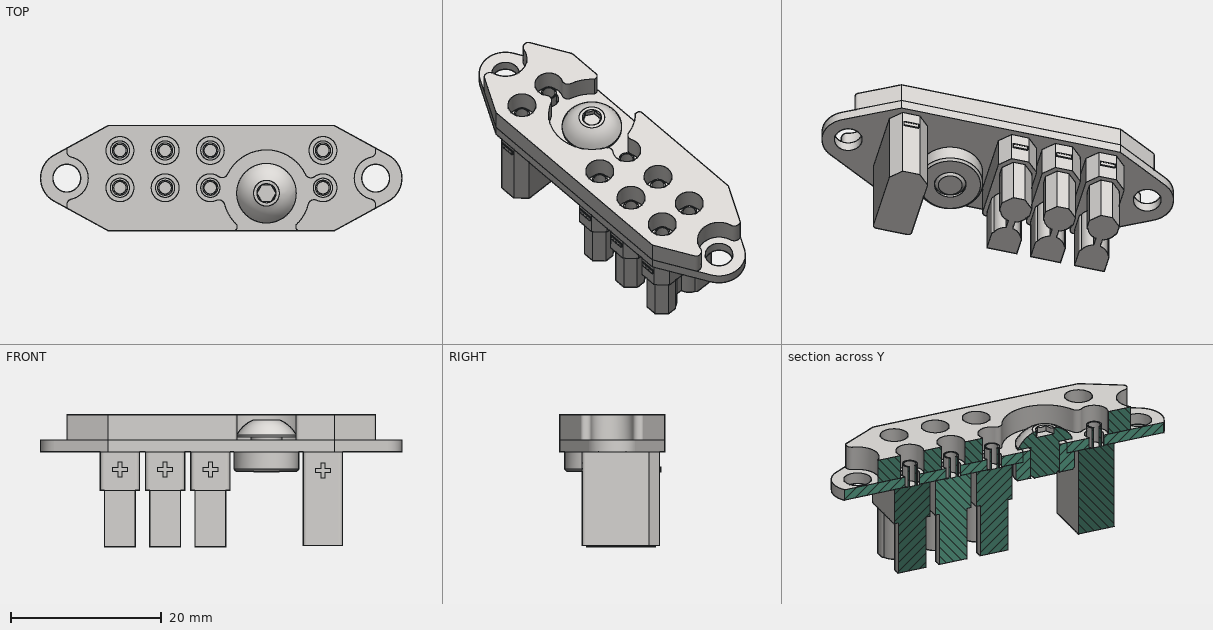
import cadquery as cq
import math

BOARD_THICKNESS = 1.6
COVER_THICKNESS = 3.35

PLATE_HALF_WIDTH = 7.0
SHOULDER_X = 15.0
EAR_X = 20.5
EAR_RADIUS = 3.5
EAR_POINTS = [(-EAR_X, 0), (EAR_X, 0)]
EAR_HOLE_DIAMETER = 3.66
EAR_PAD_DIAMETER = 5.65

CONTACT_PITCH = 4.95
CONTACT_ROW_MIDDLE_Y = 1.2
STEPPED_CONNECTOR_XS = (-13.45, -7.45, -1.45)
STRAIGHT_CONNECTOR_X = 13.5
CONTACT_ROW_YS = (CONTACT_ROW_MIDDLE_Y + CONTACT_PITCH / 2, CONTACT_ROW_MIDDLE_Y - CONTACT_PITCH / 2)
CONTACT_POINTS = [
    (x, y) for x in (*STEPPED_CONNECTOR_XS, STRAIGHT_CONNECTOR_X) for y in CONTACT_ROW_YS
]
CONTACT_CLEARANCE_DIAMETER = 3.7
CONTACT_HOLE_DIAMETER = 2.55
TUBE_OUTER_DIAMETER = 2.0
TUBE_INNER_DIAMETER = 1.65
TUBE_RISE = 1.4

HOUSING_WIDTH = 5.25
HOUSING_BACK_Y = 6.3
HOUSING_FRONT_Y = -4.0
HOUSING_BACK_CHAMFER = 1.45
STEPPED_FRONT_FILLET = 0.6
STRAIGHT_FRONT_FILLET = 0.5
STEPPED_HOUSING_HEIGHT = 5.1
STEPPED_TOTAL_HEIGHT = 12.6
STRAIGHT_HOUSING_HEIGHT = 12.45

PLUG_WIDTH = 4.1
PLUG_BACK_Y = 5.75
PLUG_FRONT_Y = -3.4
PLUG_BACK_CHAMFER = 1.25
WAIST_WIDTH = 0.9
BARREL_DIAMETER = 3.9
BLOCK_PAST_CONTACT = 0.75
BLOCK_INNER_FILLET = 0.45

MARK_LENGTH = 2.0
MARK_STROKE = 0.55
MINUS_STROKE = 0.7
MARK_RELIEF = 0.15
MARK_DEPTH_BELOW_BOARD = 2.35
STRAIGHT_PLUS_DEPTH_BELOW_BOARD = 2.5

SCREW_X = 6.0
SCREW_Y = -2.0
SCREW_POINT = [(SCREW_X, SCREW_Y)]
SHANK_DIAMETER = 4.17
SHANK_TIP_CHAMFER = 0.5
SHANK_OVERHANG = 0.1
HEAD_DIAMETER = 7.92
HEAD_FLAT_DIAMETER = 3.42
HEAD_GAP = 0.4
HEAD_RIM_HEIGHT = 0.25
HEAD_HEIGHT = 2.25
SOCKET_ACROSS_FLATS = 2.2
SOCKET_ENTRY_DIAMETER = 2.55
SOCKET_ENTRY_DEPTH = 0.2
SOCKET_DEPTH = 0.9
SOCKET_TURN = 30
NUT_DIAMETER = 8.64
NUT_HEIGHT = 2.6
NUT_CHAMFER = 0.3
NUT_BARREL_DIAMETER = 6.35
NUT_BARREL_HOLE_DIAMETER = 6.37
NUT_PAD_DIAMETER = 9.5

SCREW_OPENING_RADIUS = 5.75
SCREW_SLOT_WIDTH = 7.8
EAR_CUTOUT_RADIUS = 2.85
INNER_CORNER_FILLET = 0.8
OUTER_CORNER_FILLET = 0.5
EDGE_MARGIN = 0.1


def plate(z, thickness):
    """Board-shaped plate: straight sides that run tangent into the two ears."""
    corner_direction = math.atan2(PLATE_HALF_WIDTH, SHOULDER_X - EAR_X)
    corner_distance = math.hypot(PLATE_HALF_WIDTH, SHOULDER_X - EAR_X)
    tangent_angle = corner_direction - math.acos(EAR_RADIUS / corner_distance)
    tangent_x = EAR_X + EAR_RADIUS * math.cos(tangent_angle)
    tangent_y = EAR_RADIUS * math.sin(tangent_angle)
    ear_tip_x = EAR_X + EAR_RADIUS
    return (
        cq.Workplane("XY", origin=(0, 0, z))
        .moveTo(-SHOULDER_X, PLATE_HALF_WIDTH)
        .lineTo(SHOULDER_X, PLATE_HALF_WIDTH)
        .lineTo(tangent_x, tangent_y)
        .threePointArc((ear_tip_x, 0), (tangent_x, -tangent_y))
        .lineTo(SHOULDER_X, -PLATE_HALF_WIDTH)
        .lineTo(-SHOULDER_X, -PLATE_HALF_WIDTH)
        .lineTo(-tangent_x, -tangent_y)
        .threePointArc((-ear_tip_x, 0), (-tangent_x, tangent_y))
        .close()
        .extrude(thickness)
    )


def discs(points, diameter, z, height):
    return cq.Workplane("XY", origin=(0, 0, z)).pushPoints(points).circle(diameter / 2).extrude(height)


def make_board():
    board = plate(0, BOARD_THICKNESS)
    pads = (
        (EAR_POINTS, EAR_PAD_DIAMETER, EAR_HOLE_DIAMETER),
        (CONTACT_POINTS, CONTACT_CLEARANCE_DIAMETER, CONTACT_HOLE_DIAMETER),
        (SCREW_POINT, NUT_PAD_DIAMETER, NUT_BARREL_HOLE_DIAMETER),
    )
    for points, pad_diameter, hole_diameter in pads:
        pad = discs(points, pad_diameter, 0, BOARD_THICKNESS)
        hole = discs(points, hole_diameter, 0, BOARD_THICKNESS)
        board = board.cut(pad, clean=False).union(pad.cut(hole), clean=False)
    return board


def vertical_edges(body, min_x, max_x, min_y, max_y):
    """Upright edges at cover height that stand inside the given rectangle."""
    top_z = BOARD_THICKNESS + COVER_THICKNESS
    window = cq.selectors.BoxSelector((min_x, min_y, BOARD_THICKNESS), (max_x, max_y, top_z))
    return body.edges("|Z").edges(window)


def make_cover():
    z = BOARD_THICKNESS
    between_ears = (
        cq.Workplane("XY", origin=(0, 0, z))
        .rect(2 * EAR_X, 2 * PLATE_HALF_WIDTH)
        .extrude(COVER_THICKNESS)
    )
    cover = plate(z, COVER_THICKNESS).intersect(between_ears)
    cover = cover.edges("|Z").edges("<X or >X").fillet(OUTER_CORNER_FILLET)

    cover = cover.cut(discs(EAR_POINTS, 2 * EAR_CUTOUT_RADIUS, z, COVER_THICKNESS))
    for x, _ in EAR_POINTS:
        notch_corners = vertical_edges(
            cover,
            x - EDGE_MARGIN,
            x + EDGE_MARGIN,
            -EAR_CUTOUT_RADIUS - EDGE_MARGIN,
            EAR_CUTOUT_RADIUS + EDGE_MARGIN,
        )
        cover = notch_corners.fillet(INNER_CORNER_FILLET)

    slot_length = PLATE_HALF_WIDTH + SCREW_Y
    slot_middle_y = SCREW_Y - slot_length / 2
    slot = (
        cq.Workplane("XY", origin=(SCREW_X, slot_middle_y, z))
        .rect(SCREW_SLOT_WIDTH, slot_length)
        .extrude(COVER_THICKNESS)
    )
    cover = cover.cut(slot)
    slot_corners = vertical_edges(
        cover,
        SCREW_X - SCREW_OPENING_RADIUS,
        SCREW_X + SCREW_OPENING_RADIUS,
        -PLATE_HALF_WIDTH - EDGE_MARGIN,
        -PLATE_HALF_WIDTH + EDGE_MARGIN,
    )
    cover = slot_corners.fillet(OUTER_CORNER_FILLET)

    cover = cover.cut(discs(CONTACT_POINTS, CONTACT_CLEARANCE_DIAMETER, z, COVER_THICKNESS))
    cover = cover.cut(discs(SCREW_POINT, 2 * SCREW_OPENING_RADIUS, z, COVER_THICKNESS))
    break_through_y = CONTACT_ROW_YS[1]
    break_through_corners = vertical_edges(
        cover,
        STEPPED_CONNECTOR_XS[-1] + EDGE_MARGIN,
        STRAIGHT_CONNECTOR_X - EDGE_MARGIN,
        break_through_y - CONTACT_CLEARANCE_DIAMETER / 2,
        break_through_y + CONTACT_CLEARANCE_DIAMETER / 2,
    )
    return break_through_corners.fillet(INNER_CORNER_FILLET)


def block(x, width, front_y, back_y, back_chamfer, bottom_z, height):
    """Upright prism whose two back corners are cut at 45 degrees."""
    return (
        cq.Workplane("XY", origin=(x, (front_y + back_y) / 2, bottom_z))
        .box(width, back_y - front_y, height, centered=(True, True, False))
        .edges("|Z and >Y")
        .chamfer(back_chamfer)
    )


def add_contacts_and_marks(connector, x, plus_z):
    tube_points = [(x, y) for y in CONTACT_ROW_YS]
    tube_height = BOARD_THICKNESS + TUBE_RISE
    connector = connector.union(discs(tube_points, TUBE_OUTER_DIAMETER, 0, tube_height))
    connector = connector.cut(discs(tube_points, TUBE_INNER_DIAMETER, 0, tube_height))
    bar = cq.Workplane("XY").box(MARK_LENGTH, 2 * MARK_RELIEF, MARK_STROKE)
    upright = cq.Workplane("XY").box(MARK_STROKE, 2 * MARK_RELIEF, MARK_LENGTH)
    plus = bar.union(upright).translate((x, HOUSING_FRONT_Y, plus_z))
    minus = cq.Workplane("XY").box(MARK_LENGTH, 2 * MARK_RELIEF, MINUS_STROKE)
    minus = minus.translate((x, HOUSING_BACK_Y, -MARK_DEPTH_BELOW_BOARD))
    return connector.union(minus).cut(plus)


def make_housing(x, height, front_fillet):
    housing = block(
        x, HOUSING_WIDTH, HOUSING_FRONT_Y, HOUSING_BACK_Y, HOUSING_BACK_CHAMFER, -height, height
    )
    return housing.edges("|Z and <Y").fillet(front_fillet)


def make_plug(x):
    """Two blocks with round barrels on the contact axes, joined by a narrow waist."""
    bottom_z = -STEPPED_TOTAL_HEIGHT
    height = STEPPED_TOTAL_HEIGHT - STEPPED_HOUSING_HEIGHT
    back_contact_y, front_contact_y = CONTACT_ROW_YS
    back_block = block(
        x, PLUG_WIDTH, back_contact_y - BLOCK_PAST_CONTACT, PLUG_BACK_Y, PLUG_BACK_CHAMFER, bottom_z, height
    )
    back_block = back_block.edges("|Z and <Y").fillet(BLOCK_INNER_FILLET)
    front_block_back_y = front_contact_y + BLOCK_PAST_CONTACT
    front_block = (
        cq.Workplane("XY", origin=(x, (PLUG_FRONT_Y + front_block_back_y) / 2, bottom_z))
        .rect(PLUG_WIDTH, front_block_back_y - PLUG_FRONT_Y)
        .extrude(height)
        .edges("|Z and >Y")
        .fillet(BLOCK_INNER_FILLET)
    )
    waist = (
        cq.Workplane("XY", origin=(x, CONTACT_ROW_MIDDLE_Y, bottom_z))
        .rect(WAIST_WIDTH, CONTACT_PITCH)
        .extrude(height)
    )
    barrels = discs([(x, y) for y in CONTACT_ROW_YS], BARREL_DIAMETER, bottom_z, height)
    return back_block.union(front_block).union(barrels).union(waist)


def make_stepped_connector(x):
    connector = make_housing(x, STEPPED_HOUSING_HEIGHT, STEPPED_FRONT_FILLET).union(make_plug(x))
    return add_contacts_and_marks(connector, x, -MARK_DEPTH_BELOW_BOARD)


def make_straight_connector():
    housing = make_housing(STRAIGHT_CONNECTOR_X, STRAIGHT_HOUSING_HEIGHT, STRAIGHT_FRONT_FILLET)
    return add_contacts_and_marks(housing, STRAIGHT_CONNECTOR_X, -STRAIGHT_PLUS_DEPTH_BELOW_BOARD)


def make_nut():
    nut = discs(SCREW_POINT, NUT_DIAMETER, -NUT_HEIGHT, NUT_HEIGHT).faces("<Z").chamfer(NUT_CHAMFER)
    nut = nut.union(discs(SCREW_POINT, NUT_BARREL_DIAMETER, 0, BOARD_THICKNESS))
    return nut.cut(discs(SCREW_POINT, SHANK_DIAMETER, -NUT_HEIGHT, NUT_HEIGHT + BOARD_THICKNESS))


def make_screw():
    tip_z = -NUT_HEIGHT - SHANK_OVERHANG
    under_z = BOARD_THICKNESS + HEAD_GAP
    rim_z = under_z + HEAD_RIM_HEIGHT
    top_z = under_z + HEAD_HEIGHT
    shank_r = SHANK_DIAMETER / 2
    head_r = HEAD_DIAMETER / 2
    flat_r = HEAD_FLAT_DIAMETER / 2

    dome_height = top_z - rim_z
    centre_z = rim_z - (head_r**2 - flat_r**2 - dome_height**2) / (2 * dome_height)
    dome_radius = math.hypot(head_r, rim_z - centre_z)
    middle_angle = (math.atan2(rim_z - centre_z, head_r) + math.atan2(top_z - centre_z, flat_r)) / 2
    dome_middle = (dome_radius * math.cos(middle_angle), centre_z + dome_radius * math.sin(middle_angle))

    screw = (
        cq.Workplane("XZ")
        .moveTo(0, tip_z)
        .lineTo(shank_r - SHANK_TIP_CHAMFER, tip_z)
        .lineTo(shank_r, tip_z + SHANK_TIP_CHAMFER)
        .lineTo(shank_r, under_z)
        .lineTo(head_r, under_z)
        .lineTo(head_r, rim_z)
        .threePointArc(dome_middle, (flat_r, top_z))
        .lineTo(0, top_z)
        .close()
        .revolve(360, (0, 0, 0), (0, 1, 0))
    )
    socket = (
        cq.Workplane("XY", origin=(0, 0, top_z - SOCKET_DEPTH))
        .transformed(rotate=(0, 0, SOCKET_TURN))
        .polygon(6, SOCKET_ACROSS_FLATS, circumscribed=True)
        .extrude(SOCKET_DEPTH)
    )
    entry = (
        cq.Workplane("XY", origin=(0, 0, top_z))
        .circle(SOCKET_ENTRY_DIAMETER / 2)
        .workplane(offset=-SOCKET_ENTRY_DEPTH)
        .circle(SOCKET_ACROSS_FLATS / 2)
        .loft()
    )
    return screw.cut(socket).cut(entry).translate((SCREW_X, SCREW_Y, 0))


board = make_board()
cover = make_cover()
stepped_connectors = [make_stepped_connector(x) for x in STEPPED_CONNECTOR_XS]
straight_connector = make_straight_connector()
nut = make_nut()
screw = make_screw()

result = cq.Compound.makeCompound([
    board.val(),
    cover.val(),
    *[connector.val() for connector in stepped_connectors],
    straight_connector.val(),
    nut.val(),
    screw.val(),
])